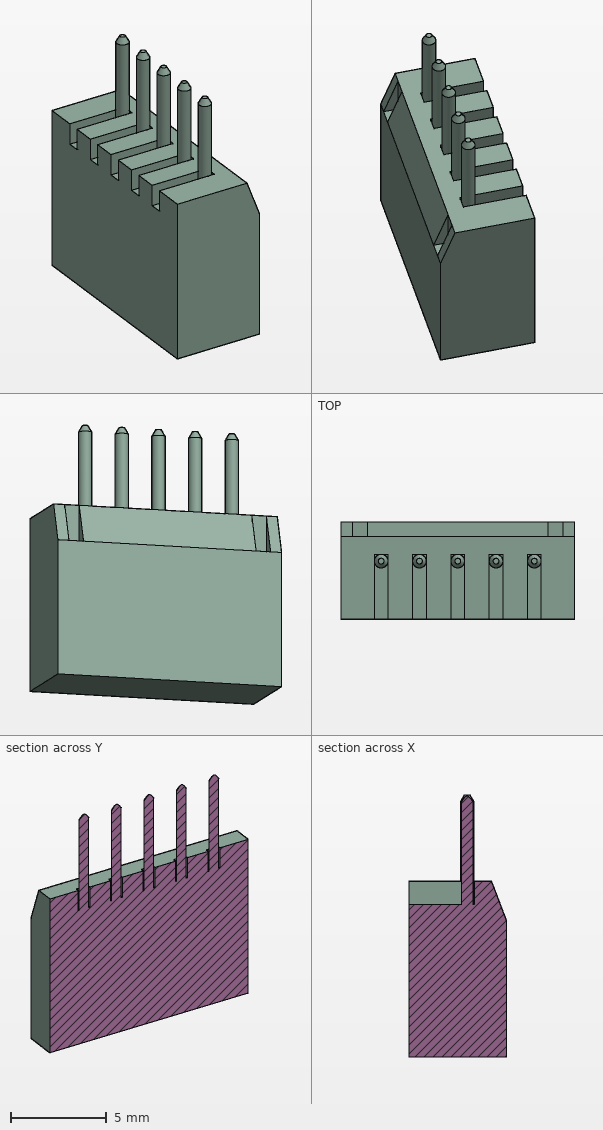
import cadquery as cq

body_width = 12.2
body_depth = 5.1
total_height = 13.7
pin_exposed = 4.51
body_height = total_height - pin_exposed

slope_depth = 0.78
slope_height = 2.05
slope_foot = body_height - slope_height

notch_width = 0.8
notch_end_gap = 0.6

pin_count = 5
pin_pitch = 2.0
pin_diameter = 0.71
pin_y = 3.04
tip_height = 0.35
tip_diameter = 0.3
slot_depth = 1.2
slot_floor = body_height - slot_depth
slot_length = pin_y + pin_diameter / 2

pin_positions = [(i - (pin_count - 1) / 2) * pin_pitch for i in range(pin_count)]


def make_body():
    """Block whose YZ profile has a sloped upper back edge."""
    profile = [
        (0, 0),
        (body_depth, 0),
        (body_depth, slope_foot),
        (body_depth - slope_depth, body_height),
        (0, body_height),
    ]
    return cq.Workplane("YZ").polyline(profile).close().extrude(body_width / 2, both=True)


def make_notch(x):
    """Flat-floored cut through the slope, down to its foot."""
    return (
        cq.Workplane("XY", origin=(x, body_depth - slope_depth / 2, slope_foot))
        .box(notch_width, slope_depth, slope_height, centered=(True, True, False))
    )


def make_slot(x):
    """Slot open at the top and front faces, ending just behind the pin."""
    return (
        cq.Workplane("XY", origin=(x, 0, slot_floor))
        .box(pin_diameter, slot_length, slot_depth, centered=(True, False, False))
    )


def make_pin(x):
    """Round pin with a conical tip, rising from the slot floor."""
    shoulder = total_height - tip_height
    profile = [
        (0, slot_floor),
        (pin_diameter / 2, slot_floor),
        (pin_diameter / 2, shoulder),
        (tip_diameter / 2, total_height),
        (0, total_height),
    ]
    pin = cq.Workplane("XZ").polyline(profile).close().revolve(360, (0, 0), (0, 1))
    return pin.translate((x, pin_y, 0))


result = make_body()

notch_x = body_width / 2 - notch_end_gap - notch_width / 2
for x in (-notch_x, notch_x):
    result = result.cut(make_notch(x))

for x in pin_positions:
    result = result.cut(make_slot(x))
    result = result.union(make_pin(x))